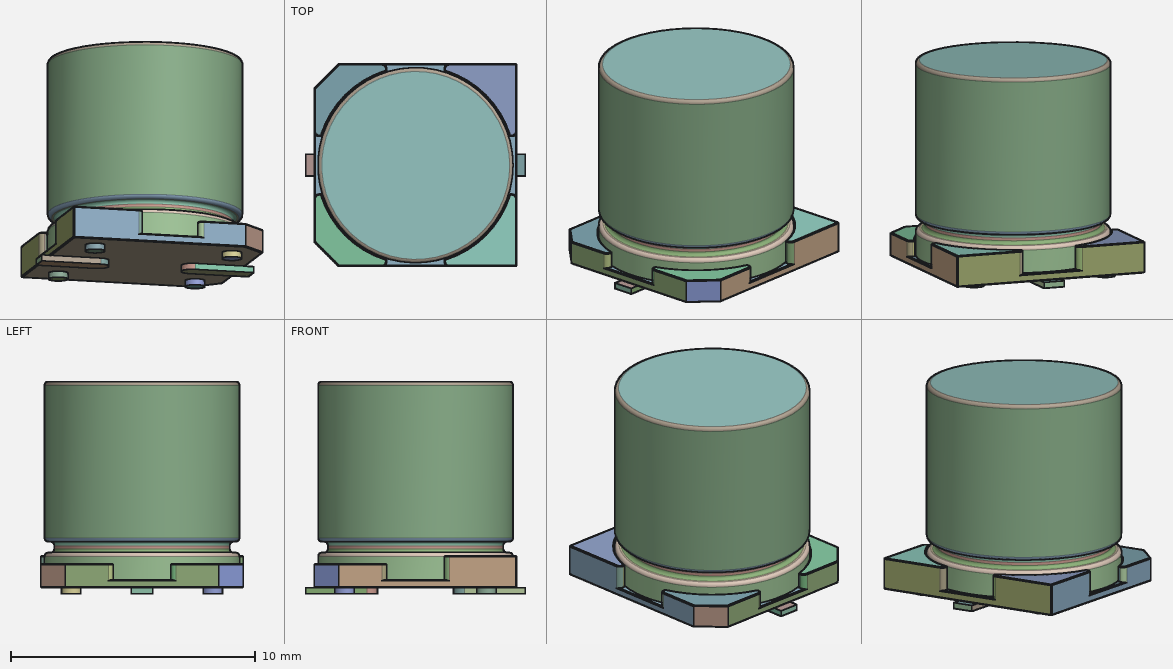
import cadquery as cq
import math

total_height = 8.7
lead_span = 9.0

base_size = 8.3
base_half = base_size / 2
base_bottom = 0.25
floor_top = 0.58
low_block_top = 1.23
high_block_top = 1.56
corner_chamfer = 1.0
edge_chamfer = 0.04
seat_level = base_bottom + edge_chamfer

recess_radius = 4.03
notch_half_width = 1.18
tip_outer_fillet = 0.2
tip_inner_fillet = 0.06

can_radius = 4.0
can_top_fillet = 0.15
groove_radius = 3.6
groove_center = 1.915
groove_floor_half = 0.06
groove_arc = 0.16

lead_width = 0.9
lead_end_radius = lead_width / 2
lead_inner_x = 1.55
foot_diameter = 0.8
foot_offset = 2.9


def make_floor():
    """Thin base plate: cut corners at -X, lightly broken corners at +X."""
    floor = (
        cq.Workplane("XY")
        .workplane(offset=base_bottom)
        .rect(base_size, base_size)
        .extrude(floor_top - base_bottom)
    )
    floor = floor.edges("|Z and <X").chamfer(corner_chamfer)
    floor = floor.edges("|Z and >X").chamfer(edge_chamfer)
    return floor.faces("<Z or >Z").edges().chamfer(edge_chamfer)


def make_block(side_x, side_y):
    """Corner block with a round inner wall and rounded tips."""
    if side_x > 0:
        top, corner_cut = high_block_top, edge_chamfer
    else:
        top, corner_cut = low_block_top, corner_chamfer

    def at(x, y):
        return (side_x * x, side_y * y)

    tip_depth = math.sqrt(recess_radius**2 - notch_half_width**2)
    diagonal = recess_radius / math.sqrt(2)
    block = (
        cq.Workplane("XY")
        .workplane(offset=seat_level)
        .moveTo(*at(notch_half_width, tip_depth))
        .lineTo(*at(notch_half_width, base_half))
        .lineTo(*at(base_half - corner_cut, base_half))
        .lineTo(*at(base_half, base_half - corner_cut))
        .lineTo(*at(base_half, notch_half_width))
        .lineTo(*at(tip_depth, notch_half_width))
        .threePointArc(at(diagonal, diagonal), at(notch_half_width, tip_depth))
        .close()
        .extrude(top - seat_level)
    )
    for reach, radius in ((base_half, tip_outer_fillet), (tip_depth, tip_inner_fillet)):
        for x, y in (at(notch_half_width, reach), at(reach, notch_half_width)):
            edge = cq.selectors.NearestToPointSelector((x, y, (seat_level + top) / 2))
            block = block.edges("|Z").edges(edge).fillet(radius)
    return block.faces(">Z").edges().chamfer(edge_chamfer)


def make_can():
    """Turned can with a crimped groove near its foot."""
    lip_radius = can_radius - groove_arc
    throat_radius = groove_radius + groove_arc
    flank_half = groove_floor_half + groove_arc
    lip_half = flank_half + groove_arc
    bend = groove_arc * math.sqrt(0.5)

    profile = (
        cq.Workplane("XZ")
        .moveTo(0, seat_level)
        .lineTo(can_radius, seat_level)
        .lineTo(can_radius, groove_center - lip_half)
        .threePointArc(
            (lip_radius + bend, groove_center - lip_half + bend),
            (lip_radius, groove_center - flank_half),
        )
        .lineTo(throat_radius, groove_center - flank_half)
        .threePointArc(
            (throat_radius - bend, groove_center - groove_floor_half - bend),
            (groove_radius, groove_center - groove_floor_half),
        )
        .lineTo(groove_radius, groove_center + groove_floor_half)
        .threePointArc(
            (throat_radius - bend, groove_center + groove_floor_half + bend),
            (throat_radius, groove_center + flank_half),
        )
        .lineTo(lip_radius, groove_center + flank_half)
        .threePointArc(
            (lip_radius + bend, groove_center + lip_half - bend),
            (can_radius, groove_center + lip_half),
        )
        .lineTo(can_radius, total_height)
        .lineTo(0, total_height)
        .close()
    )
    can = profile.revolve(360, (0, 0, 0), (0, 1, 0))
    return can.faces(">Z").edges().fillet(can_top_fillet)


def make_lead(side):
    """Flat terminal under the base with a round inner end."""
    round_center = lead_inner_x + lead_end_radius
    length = lead_span / 2 - round_center
    strip = cq.Workplane("XY").center(side * (round_center + length / 2), 0)
    strip = strip.rect(length, lead_width).extrude(base_bottom)
    end = cq.Workplane("XY").center(side * round_center, 0)
    end = end.circle(lead_end_radius).extrude(base_bottom)
    return strip.union(end)


def make_feet():
    """Four round feet under the base corners."""
    return (
        cq.Workplane("XY")
        .rect(2 * foot_offset, 2 * foot_offset, forConstruction=True)
        .vertices()
        .circle(foot_diameter / 2)
        .extrude(base_bottom)
    )


result = make_floor().union(make_can()).union(make_feet())
for side_x in (-1, 1):
    result = result.union(make_lead(side_x))
    for side_y in (-1, 1):
        result = result.union(make_block(side_x, side_y))